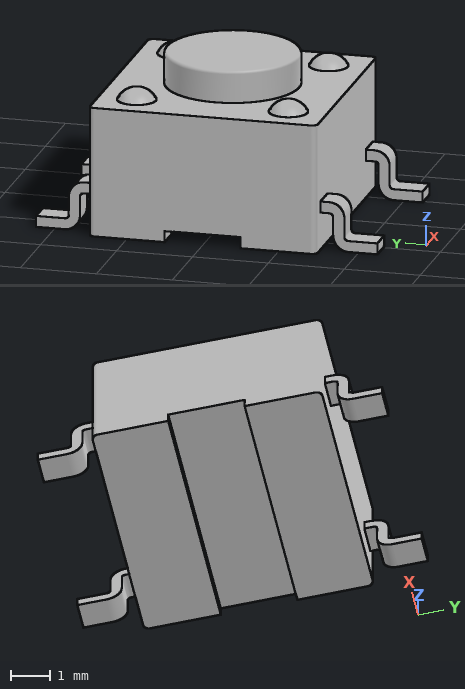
import cadquery as cq
import math

body_side = 6.0
body_top = 3.44
cover_thickness = 0.28
corner_radius = 0.15

channel_width = 2.0
channel_depth = 0.3

overall_height = 4.3
button_diameter = 3.5
button_edge_radius = 0.1

rivet_offset = 2.0
rivet_radius = 0.5
rivet_height = 0.315
rivet_tip_radius = 0.03

lead_span = 9.0
lead_offset = 2.25
lead_width = 0.7
lead_thickness = 0.3
lead_top = 1.3
lead_reach = 0.63
inner_bend_radius = 0.1
outer_bend_radius = inner_bend_radius + lead_thickness


def rounded_block(bottom, height):
    """Square block with rounded vertical edges."""
    return (
        cq.Workplane("XY", origin=(0, 0, bottom))
        .rect(body_side, body_side)
        .extrude(height)
        .edges("|Z")
        .fillet(corner_radius)
    )


def housing():
    """Block and cover, with the channel cut through the underside."""
    block_height = body_top - cover_thickness
    channel = cq.Workplane("XY").box(
        body_side, channel_width, channel_depth, centered=(True, True, False)
    )
    block = rounded_block(0, block_height).cut(channel)
    return block.union(rounded_block(block_height, cover_thickness), clean=False)


def button():
    """Cylinder with a rounded top rim."""
    return (
        cq.Workplane("XY", origin=(0, 0, body_top))
        .circle(button_diameter / 2)
        .extrude(overall_height - body_top)
        .faces(">Z")
        .edges()
        .fillet(button_edge_radius)
    )


def rivet_head(x, y):
    """Shallow dome with a tiny flat at its tip, standing on the cover."""
    dome_radius = (rivet_radius**2 + rivet_height**2) / (2 * rivet_height)
    dome_center = rivet_height - dome_radius
    middle_radius = rivet_radius / 2
    middle_height = dome_center + math.sqrt(dome_radius**2 - middle_radius**2)
    return (
        cq.Workplane("XZ", origin=(x, y, body_top))
        .moveTo(0, 0)
        .lineTo(rivet_radius, 0)
        .threePointArc((middle_radius, middle_height), (rivet_tip_radius, rivet_height))
        .lineTo(0, rivet_height)
        .close()
        .revolve(360, (0, 0), (0, 1))
    )


def lead(x):
    """S-shaped lead leaving the +Y wall and ending in a flat foot."""
    wall = body_side / 2
    tip = lead_span / 2
    outer_face = wall + lead_reach
    inner_face = outer_face - lead_thickness
    strip = (
        cq.Workplane("YZ", origin=(x - lead_width / 2, 0, 0))
        .moveTo(wall, lead_top)
        .lineTo(outer_face, lead_top)
        .lineTo(outer_face, lead_thickness)
        .lineTo(tip, lead_thickness)
        .lineTo(tip, 0)
        .lineTo(inner_face, 0)
        .lineTo(inner_face, lead_top - lead_thickness)
        .lineTo(wall, lead_top - lead_thickness)
        .close()
        .extrude(lead_width)
    )
    outer_corners = [(outer_face, lead_top), (inner_face, 0)]
    inner_corners = [(outer_face, lead_thickness), (inner_face, lead_top - lead_thickness)]
    for corners, radius in ((outer_corners, outer_bend_radius), (inner_corners, inner_bend_radius)):
        for y, z in corners:
            strip = strip.edges(cq.NearestToPointSelector((x, y, z))).fillet(radius)
    return strip


result = housing().union(button(), clean=False)
for x_side in (-1, 1):
    rear_lead = lead(x_side * lead_offset)
    front_lead = rear_lead.mirror("XZ")
    result = result.union(rear_lead, clean=False).union(front_lead, clean=False)
    for y_side in (-1, 1):
        rivet = rivet_head(x_side * rivet_offset, y_side * rivet_offset)
        result = result.union(rivet, clean=False)